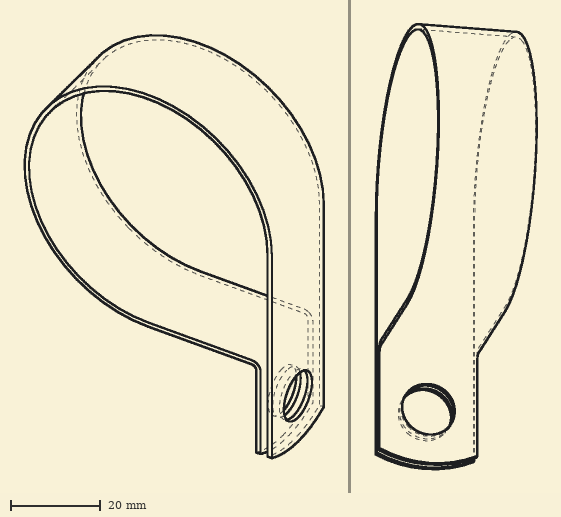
import cadquery as cq

total_height = 90.9
loop_diameter = 64.35
strap_width = 22.3
thickness = 1.2
tab_gap = 1.7
bend_inner_radius = 1.2
hole_diameter = 12.0
hole_height = 12.7
tip_rise = 2.5

outer_radius = loop_diameter / 2
inner_radius = outer_radius - thickness
tip_z = outer_radius - total_height
short_tab_outer_x = inner_radius - tab_gap
short_tab_inner_x = short_tab_outer_x - thickness
bend_outer_radius = bend_inner_radius + thickness
bend_center_x = short_tab_outer_x - bend_outer_radius
half_width = strap_width / 2
cut_margin = 0.9


def strap_band():
    """Bent strip: long tab, three-quarter loop, flat floor and short tab."""
    bend_center_z = -outer_radius - bend_inner_radius
    diagonal = 0.5 ** 0.5
    bend_outer_mid = (
        bend_center_x + bend_outer_radius * diagonal,
        bend_center_z + bend_outer_radius * diagonal,
    )
    bend_inner_mid = (
        bend_center_x + bend_inner_radius * diagonal,
        bend_center_z + bend_inner_radius * diagonal,
    )
    outer_mid = (-outer_radius * diagonal, outer_radius * diagonal)
    inner_mid = (-inner_radius * diagonal, inner_radius * diagonal)
    return (
        cq.Workplane("XZ")
        .moveTo(outer_radius, tip_z)
        .lineTo(outer_radius, 0)
        .threePointArc(outer_mid, (0, -outer_radius))
        .lineTo(bend_center_x, -outer_radius)
        .threePointArc(bend_inner_mid, (short_tab_inner_x, bend_center_z))
        .lineTo(short_tab_inner_x, tip_z)
        .lineTo(short_tab_outer_x, tip_z)
        .lineTo(short_tab_outer_x, bend_center_z)
        .threePointArc(bend_outer_mid, (bend_center_x, -inner_radius))
        .lineTo(0, -inner_radius)
        .threePointArc(inner_mid, (inner_radius, 0))
        .lineTo(inner_radius, tip_z)
        .close()
        .extrude(half_width, both=True)
    )


def rounded_tip_envelope():
    """Side outline with a shallow arc at the tab tips, swept along X."""
    return (
        cq.Workplane("YZ", origin=(-outer_radius - cut_margin, 0, 0))
        .moveTo(-half_width, tip_z + tip_rise)
        .threePointArc((0, tip_z), (half_width, tip_z + tip_rise))
        .lineTo(half_width, outer_radius + cut_margin)
        .lineTo(-half_width, outer_radius + cut_margin)
        .close()
        .extrude(loop_diameter + 2 * cut_margin)
    )


def bolt_hole():
    """Cylinder along X through both tabs."""
    return (
        cq.Workplane("YZ")
        .center(0, tip_z + hole_height)
        .circle(hole_diameter / 2)
        .extrude(outer_radius + cut_margin)
    )


result = strap_band().intersect(rounded_tip_envelope()).cut(bolt_hole())